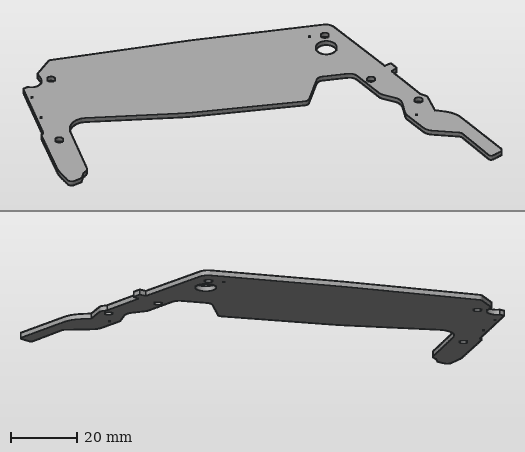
import cadquery as cq
import math

thickness = 1.7

screw_hole_diameter = 2.5
large_hole_diameter = 6.4
pin_hole_diameter = 0.5

screw_holes = [(7.8, 21.8), (33.4, 8.3), (34.9, 102.5), (60.0, 102.8), (76.0, 109.5)]
large_hole = (40.1, 99.6)
pin_holes = [(11.9, 12.3), (21.5, 9.4), (32.9, 98.2), (81.6, 105.2)]

body_left_side = [
    (-0.1, 26.2, 1.2),
    (15.0, 67.1, 70.7),
    (31.1, 106.7, 3.3),
]
top_tab = [
    (56.8, 109.8, 0),
    (56.8, 112.0, 0),
    (59.7, 112.3, 0),
    (60.1, 110.1, 0),
]
upper_arm_top = [
    (73.9, 111.5, 0),
    (75.9, 112.7, 1.8),
    (82.8, 111.1, 0),
    (87.3, 115.5, 8.3),
]
upper_arm_tip = [
    (110.0, 118.0, 1.1),
    (110.5, 113.2, 1.0),
]
upper_arm_underside = [
    (96.1, 111.9, 1.4),
    (89.5, 103.8, 4.2),
    (79.7, 102.6, 2.4),
    (73.0, 105.3, 3.5),
    (67.6, 101.4, 3.0),
    (54.7, 100.0, 3.0),
]
body_right_side = [
    (50.5, 89.8, 2.1),
    (58.5, 81.4, 1.5),
    (43.5, 47.4, 70.7),
    (25.9, 15.0, 5.1),
]
lower_arm_tip = [
    (49.9, 7.8, 1.8),
    (50.8, 5.5, 0),
    (52.4, 4.0, 0.7),
    (52.2, 0.0, 1.4),
    (45.7, 0.0, 10.6),
]
lower_edge = [
    (28.4, 5.0, 0),
    (28.1, 6.0, 0),
    (7.1, 12.3, 0),
    (7.1, 13.9, 0),
]
outline = (body_left_side + top_tab + upper_arm_top + upper_arm_tip
           + upper_arm_underside + body_right_side + lower_arm_tip + lower_edge)

notch_start = (7.7, 14.5)
notch_middle = (7.9, 17.9)
notch_end = (5.3, 19.5)
notch_shoulder = (3.4, 19.7)


def corner_arc(before, corner, after, radius):
    """Start, middle and end of the arc that rounds a corner tangentially."""
    corner_point = cq.Vector(*corner)
    to_before = (cq.Vector(*before) - corner_point).normalized()
    to_after = (cq.Vector(*after) - corner_point).normalized()
    half_angle = to_before.getAngle(to_after) / 2
    setback = radius / math.tan(half_angle)
    middle_distance = radius / math.sin(half_angle) - radius
    bisector = (to_before + to_after).normalized()
    return (corner_point + to_before * setback,
            corner_point + bisector * middle_distance,
            corner_point + to_after * setback)


def plate_blank():
    """Extruded outline with rounded corners and the lower left notch."""
    points = [notch_shoulder] + [(x, y) for x, y, _ in outline] + [notch_start]
    profile = cq.Workplane("XY").moveTo(*notch_shoulder)
    for index, (x, y, radius) in enumerate(outline, start=1):
        if radius == 0:
            profile = profile.lineTo(x, y)
        else:
            start, middle, end = corner_arc(points[index - 1], (x, y), points[index + 1], radius)
            profile = profile.lineTo(start.x, start.y)
            profile = profile.threePointArc((middle.x, middle.y), (end.x, end.y))
    profile = profile.lineTo(*notch_start).threePointArc(notch_middle, notch_end)
    return profile.close().extrude(thickness)


def through_holes(centers, diameter):
    return cq.Workplane("XY").pushPoints(centers).circle(diameter / 2).extrude(thickness)


result = (
    plate_blank()
    .cut(through_holes(screw_holes, screw_hole_diameter))
    .cut(through_holes([large_hole], large_hole_diameter))
    .cut(through_holes(pin_holes, pin_hole_diameter))
)